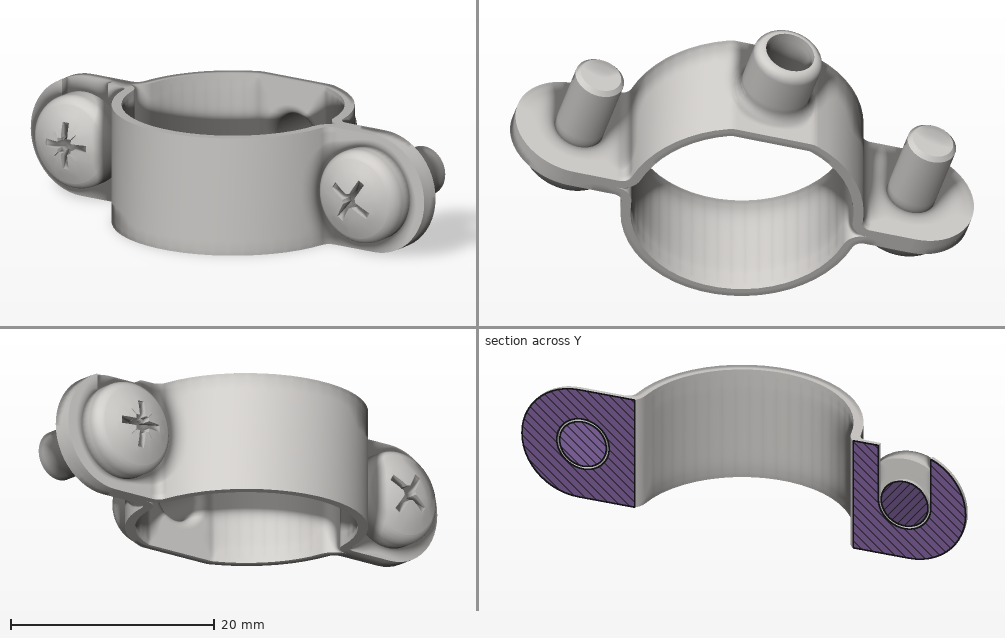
import cadquery as cq
import math

overall_length = 47.0
strap_width = 12.05
sheet = 1.0
ring_outer_radius = 12.0
ring_inner_radius = ring_outer_radius - sheet
bend_inner_radius = sheet
bend_outer_radius = bend_inner_radius + sheet
flat_inner_y = 10.25
flat_outer_y = flat_inner_y + sheet

boss_diameter = 7.0
boss_bore = 4.95
boss_top_y = 17.2
boss_fillet = sheet
selection_margin = 0.05

screw_x = 17.0
shank_diameter = 5.0
shank_tip_diameter = 4.15
shank_tip_y = 8.95
shank_chamfer = (shank_diameter - shank_tip_diameter) / 2
head_diameter = 9.5
head_height = 3.7
head_dome_radius = 8.0
head_fillet = 1.4
clearance_diameter = 5.5

recess_half_length = 2.4
recess_arm_width = 0.75
recess_end_depth = 0.6
recess_depth = 1.97
recess_core_diameter = 1.5
recess_core_depth = 1.5
recess_square = 1.6
recess_square_depth = 1.0
tick_half_length = 1.85
tick_width = 0.1
tick_depth = 0.38
right_recess_angle = 58.0


def polar(center, radius, angle):
    """Point at a radius and an angle in radians around a centre."""
    return (center[0] + radius * math.cos(angle), center[1] + radius * math.sin(angle))


ear_bend_y = bend_outer_radius
ear_bend_x = math.sqrt((ring_outer_radius + bend_inner_radius) ** 2 - ear_bend_y ** 2)
ear_bend_center = (ear_bend_x, ear_bend_y)
ear_bend_angle = math.atan2(ear_bend_y, ear_bend_x)

flat_bend_y = flat_outer_y - bend_outer_radius
flat_bend_x = math.sqrt((ring_outer_radius - bend_outer_radius) ** 2 - flat_bend_y ** 2)
flat_bend_center = (flat_bend_x, flat_bend_y)
flat_bend_angle = math.atan2(flat_bend_y, flat_bend_x)


def half_strip(has_flat):
    """Right half of a strap above y = 0, with or without the flat at its crown."""
    crown = math.pi / 2
    ring_end = flat_bend_angle if has_flat else crown
    ring_middle = (ear_bend_angle + ring_end) / 2
    corner_middle = (flat_bend_angle + crown) / 2
    ear_bend_start = -crown
    ear_bend_end = ear_bend_angle - math.pi
    ear_bend_middle = (ear_bend_start + ear_bend_end) / 2
    origin = (0, 0)
    half_length = overall_length / 2

    outline = (
        cq.Workplane("XY")
        .moveTo(half_length, 0)
        .lineTo(half_length, sheet)
        .lineTo(ear_bend_x, sheet)
        .threePointArc(
            polar(ear_bend_center, bend_inner_radius, ear_bend_middle),
            polar(ear_bend_center, bend_inner_radius, ear_bend_end),
        )
        .threePointArc(
            polar(origin, ring_outer_radius, ring_middle),
            polar(origin, ring_outer_radius, ring_end),
        )
    )

    if has_flat:
        outline = (
            outline.threePointArc(
                polar(flat_bend_center, bend_outer_radius, corner_middle),
                (flat_bend_x, flat_outer_y),
            )
            .lineTo(0, flat_outer_y)
            .lineTo(0, flat_inner_y)
            .lineTo(flat_bend_x, flat_inner_y)
            .threePointArc(
                polar(flat_bend_center, bend_inner_radius, corner_middle),
                polar(origin, ring_inner_radius, ring_end),
            )
        )
    else:
        outline = outline.lineTo(0, ring_inner_radius)

    return (
        outline.threePointArc(
            polar(origin, ring_inner_radius, ring_middle),
            polar(origin, ring_inner_radius, ear_bend_angle),
        )
        .threePointArc(
            polar(ear_bend_center, bend_outer_radius, ear_bend_middle),
            (ear_bend_x, 0),
        )
        .close()
        .extrude(strap_width / 2, both=True)
    )


def strap_blank(has_flat):
    """Whole strap with rounded ear ends, without holes."""
    half = half_strip(has_flat)
    rounded_ends = (
        cq.Workplane("XZ")
        .slot2D(overall_length, strap_width)
        .extrude(overall_length, both=True)
    )
    return half.union(half.mirror("YZ")).clean().intersect(rounded_ends)


def ear_hole(x, diameter):
    """Cutter for a round hole through an ear at the given X."""
    return cq.Workplane("XZ").center(x, 0).circle(diameter / 2).extrude(2 * sheet, both=True)


def make_upper_strap():
    """Strap with the flat, the hollow boss and two close-fitting screw holes."""
    boss = (
        cq.Workplane("XZ", origin=(0, flat_inner_y, 0))
        .circle(boss_diameter / 2)
        .extrude(flat_inner_y - boss_top_y)
        .faces(">Y")
        .edges()
        .fillet(boss_fillet)
    )
    bore_radius = boss_bore / 2
    flare_center = (bore_radius + boss_fillet, flat_inner_y + boss_fillet)
    bore = (
        cq.Workplane("XY")
        .moveTo(0, flat_inner_y)
        .lineTo(flare_center[0], flat_inner_y)
        .threePointArc(
            polar(flare_center, boss_fillet, -3 * math.pi / 4),
            (bore_radius, flare_center[1]),
        )
        .lineTo(bore_radius, boss_top_y)
        .lineTo(0, boss_top_y)
        .close()
        .revolve()
    )
    strap = strap_blank(has_flat=True).union(boss)
    reach = boss_diameter / 2 + selection_margin
    root_box = cq.selectors.BoxSelector(
        (-reach, flat_bend_y, -reach),
        (reach, flat_outer_y + selection_margin, reach),
        boundingbox=True,
    )
    strap = strap.edges(root_box).fillet(boss_fillet)
    strap = strap.cut(bore)
    for x in (-screw_x, screw_x):
        strap = strap.cut(ear_hole(x, shank_diameter))
    return strap


def make_lower_strap():
    """Plain strap with a slot open upwards at the left and a round hole at the right.

    Each screw head reaches slightly into the ear bend, so the bend has a matching relief.
    """
    strap = strap_blank(has_flat=False).mirror("XZ")
    slot_opening = cq.Workplane("XY").box(
        clearance_diameter, 4 * sheet, strap_width, centered=(True, True, False)
    )
    strap = strap.cut(slot_opening.translate((-screw_x, 0, 0)))
    for x in (-screw_x, screw_x):
        head_relief = (
            cq.Workplane("XZ", origin=(x, -sheet, 0))
            .circle(head_diameter / 2)
            .extrude(head_height)
        )
        strap = strap.cut(ear_hole(x, clearance_diameter)).cut(head_relief)
    return strap


def cross_recess(square_core):
    """Cutter for the recess, with its mouth at z = 0 and its point downwards."""
    arm = (
        cq.Workplane("XZ")
        .polyline([
            (-recess_half_length, 0),
            (recess_half_length, 0),
            (recess_half_length, -recess_end_depth),
            (recess_core_diameter / 2, -recess_core_depth),
            (-recess_core_diameter / 2, -recess_core_depth),
            (-recess_half_length, -recess_end_depth),
        ])
        .close()
        .extrude(recess_arm_width / 2, both=True)
    )
    core = (
        cq.Workplane("XZ")
        .polyline([
            (0, 0),
            (recess_core_diameter / 2, 0),
            (recess_core_diameter / 2, -recess_core_depth),
            (0, -recess_depth),
        ])
        .close()
        .revolve()
    )
    quarter_turn = 90
    across = arm.rotate((0, 0, 0), (0, 0, 1), quarter_turn)
    recess = core.union(arm).union(across)
    if square_core:
        square = cq.Workplane("XY").rect(recess_square, recess_square).extrude(-recess_square_depth)
        recess = recess.union(square)
        for angle in (45, 135):
            tick = cq.Workplane("XY").rect(2 * tick_half_length, tick_width).extrude(-tick_depth)
            recess = recess.union(tick.rotate((0, 0, 0), (0, 0, 1), angle))
    return recess


def make_screw(x, recess_angle, square_core):
    """Pan head screw through both ears, its head against the lower strap."""
    dome_center = (0, head_height - head_dome_radius)
    rim_x = head_diameter / 2 - head_fillet
    rim_rise = math.sqrt((head_dome_radius - head_fillet) ** 2 - rim_x ** 2)
    rim_center = (rim_x, dome_center[1] + rim_rise)
    rim_angle = math.atan2(rim_rise, rim_x)
    dome_middle_angle = (rim_angle + math.pi / 2) / 2
    tip_z = -(shank_tip_y + sheet)
    body = (
        cq.Workplane("XZ")
        .moveTo(0, tip_z)
        .lineTo(shank_tip_diameter / 2, tip_z)
        .lineTo(shank_diameter / 2, tip_z + shank_chamfer)
        .lineTo(shank_diameter / 2, 0)
        .lineTo(head_diameter / 2, 0)
        .lineTo(head_diameter / 2, rim_center[1])
        .threePointArc(
            polar(rim_center, head_fillet, rim_angle / 2),
            polar(rim_center, head_fillet, rim_angle),
        )
        .threePointArc(
            polar(dome_center, head_dome_radius, dome_middle_angle),
            (0, head_height),
        )
        .close()
        .revolve()
    )
    recess = cross_recess(square_core).rotate((0, 0, 0), (0, 0, 1), recess_angle)
    screw = body.cut(recess.translate((0, 0, head_height)))
    return screw.rotate((0, 0, 0), (1, 0, 0), 90).translate((x, -sheet, 0))


upper_strap = make_upper_strap()
lower_strap = make_lower_strap()
screws = []
for x, recess_angle, square_core in (
    (-screw_x, 0, True),
    (screw_x, right_recess_angle, False),
):
    screws.append(make_screw(x, recess_angle, square_core))

result = cq.Compound.makeCompound([
    upper_strap.val(),
    lower_strap.val(),
    *[screw.val() for screw in screws],
])